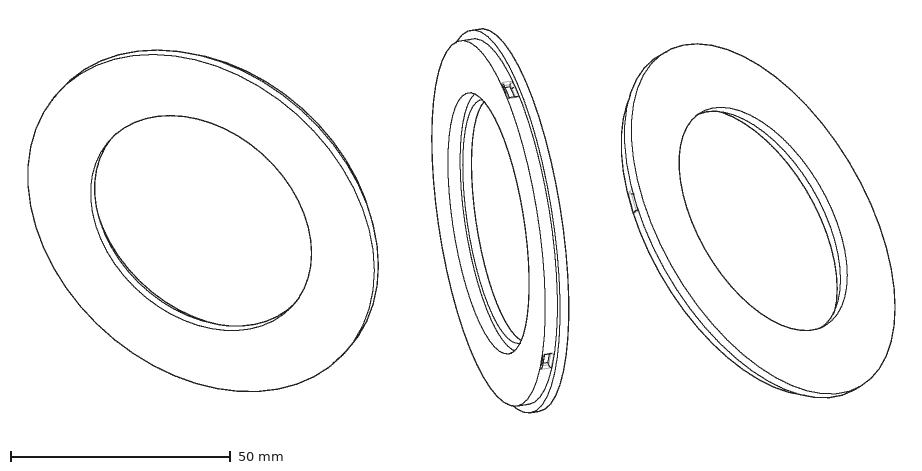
import cadquery as cq
import math

outer_diameter = 88.0
bore_diameter = 56.1
flange_thickness = 2.1

total_thickness = 5.0
ring_outer_diameter = 84.0
ring_bore_diameter = 60.0
ring_thickness = total_thickness - flange_thickness

pocket_angles = (105.8, 201.8)
pocket_width = 4.2
pocket_height = 1.5
pocket_depth = 1.2
mouth_fillet = 0.5
cutter_overhang = 0.9

ring_radius = ring_outer_diameter / 2
rear_face = total_thickness / 2
front_face = -rear_face
step_face = front_face + flange_thickness
ring_middle = step_face + ring_thickness / 2


def annulus(outer, inner, start, thickness):
    """Flat ring around the Y axis, extending from start toward +Y."""
    return (
        cq.Workplane("XZ", origin=(0, start, 0))
        .circle(outer / 2)
        .circle(inner / 2)
        .extrude(-thickness)
    )


def pocket_cutter(angle):
    """Radial block whose inner end follows the curved pocket floor."""
    floor_diameter = ring_outer_diameter - 2 * pocket_depth
    shell = annulus(
        ring_outer_diameter + 2 * cutter_overhang, floor_diameter, step_face, ring_thickness
    )
    block = (
        cq.Workplane("XY")
        .box(2 * (pocket_depth + cutter_overhang), pocket_height, pocket_width)
        .translate((ring_radius, ring_middle, 0))
        .rotate((0, 0, 0), (0, 1, 0), -angle)
    )
    return block.intersect(shell)


def is_mouth_edge(edge):
    """True for the edges where a pocket opens onto the rim of the rear ring."""
    middle = edge.positionAt(0.5)
    near_rim = math.hypot(middle.x, middle.z) > ring_radius - pocket_depth / 4
    in_pocket = abs(middle.y - ring_middle) < pocket_height / 2 + mouth_fillet / 2
    is_seam = edge.geomType() == "LINE" and edge.Length() > pocket_height + mouth_fillet
    return near_rim and in_pocket and not is_seam


flange = annulus(outer_diameter, bore_diameter, front_face, flange_thickness)
rear_ring = annulus(ring_outer_diameter, ring_bore_diameter, step_face, ring_thickness)

for pocket_angle in pocket_angles:
    rear_ring = rear_ring.cut(pocket_cutter(pocket_angle))

rear_ring = rear_ring.edges().filter(is_mouth_edge).fillet(mouth_fillet)

result = flange.union(rear_ring)